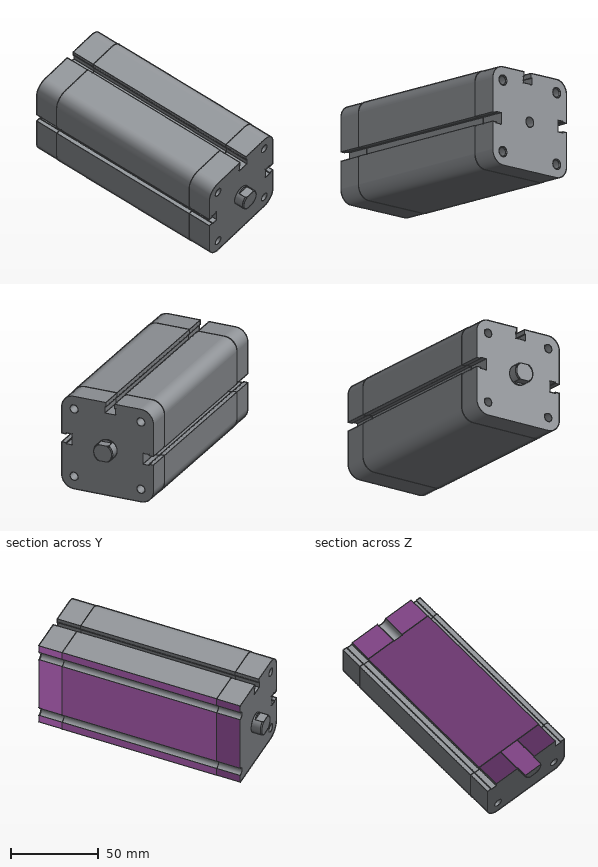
import cadquery as cq

total_length = 132.5
housing_length = 126.0
cap_length = 14.7
tube_length = housing_length - 2 * cap_length
front_cap_start = housing_length - cap_length

tube_width = 58.0
corner_radius = 8.0
cap_inset = 0.1
cap_width = tube_width - 2 * cap_inset

slot_offset = 1.7
cap_neck_width = 5.4
neck_depth = 2.9
cap_channel_width = 6.8
slot_depth = 6.8
cap_channel_bottom = tube_width / 2 - slot_depth
tube_neck_width = 5.2
tube_channel_width = 6.5
tube_floor_rise = 0.3
tube_channel_bottom = cap_channel_bottom + tube_floor_rise
slot_angles = (0, 90, -90)

screw_spacing = 42.0
screw_hole_diameter = 5.0
screw_chamfer = 0.5

centre_hole_diameter = 6.0

rod_diameter = 12.0
rod_radius = rod_diameter / 2
rod_chamfer_length = 0.8
rod_chamfer_depth = 0.4
flat_distance = 10.0
collar_length = 0.9
flat_start = housing_length + collar_length
flat_runout = 0.4


def slot_cutter(start, length, neck, channel, bottom):
    """T-shaped cutter for a slot in the top face, running along X."""
    top = tube_width / 2
    channel_top = top - neck_depth
    end_plane = cq.Workplane("YZ", origin=(start, slot_offset, 0))
    neck_cut = end_plane.center(0, (top + bottom) / 2).rect(neck, top - bottom).extrude(length)
    channel_cut = (
        end_plane.center(0, (channel_top + bottom) / 2)
        .rect(channel, channel_top - bottom)
        .extrude(length)
    )
    return neck_cut.union(channel_cut)


def slotted_block(start, length, width, slot):
    """Square block with rounded long edges, three slots and four through holes."""
    block = cq.Workplane("YZ", origin=(start, 0, 0)).rect(width, width).extrude(length)
    block = block.edges("|X").fillet(corner_radius)
    for angle in slot_angles:
        block = block.cut(slot.rotate((0, 0, 0), (1, 0, 0), angle))
    screw_holes = (
        cq.Workplane("YZ", origin=(start, 0, 0))
        .rect(screw_spacing, screw_spacing, forConstruction=True)
        .vertices()
        .circle(screw_hole_diameter / 2)
        .extrude(length)
    )
    return block.cut(screw_holes)


def make_cap(start):
    """Plain slotted end cap, starting at the given X."""
    slot = slot_cutter(start, cap_length, cap_neck_width, cap_channel_width, cap_channel_bottom)
    return slotted_block(start, cap_length, cap_width, slot)


def make_rear_cap():
    """Rear cap with chamfered screw holes and a centre hole reaching the tube."""
    cap = make_cap(0)
    screw_holes = cap.faces("<X").edges("%CIRCLE").edges(cq.selectors.RadiusNthSelector(0))
    cap = screw_holes.chamfer(screw_chamfer)
    centre_hole = cq.Workplane("YZ").circle(centre_hole_diameter / 2).extrude(cap_length)
    return cap.cut(centre_hole)


def make_tube():
    """Profile tube, with slots slightly narrower than those of the caps."""
    slot = slot_cutter(cap_length, tube_length, tube_neck_width, tube_channel_width, tube_channel_bottom)
    return slotted_block(cap_length, tube_length, tube_width, slot)


def make_front_cap():
    """Front cap with a hole that fits the rod."""
    rod_hole = cq.Workplane("YZ", origin=(front_cap_start, 0, 0)).circle(rod_radius).extrude(cap_length)
    return make_cap(front_cap_start).cut(rod_hole)


def make_flat_cutter():
    """Cutter for the upper wrench flat, with a sloped end where the flat runs out."""
    flat_height = flat_distance / 2
    profile = [
        (flat_start, rod_radius),
        (flat_start + flat_runout, flat_height),
        (total_length, flat_height),
        (total_length, rod_radius),
    ]
    return cq.Workplane("XZ").polyline(profile).close().extrude(rod_radius, both=True)


def make_rod():
    """Piston rod with a chamfered tip and two opposite wrench flats."""
    profile = [
        (front_cap_start, 0),
        (front_cap_start, rod_radius),
        (total_length - rod_chamfer_length, rod_radius),
        (total_length, rod_radius - rod_chamfer_depth),
        (total_length, 0),
    ]
    rod = cq.Workplane("XZ").polyline(profile).close().revolve(360, (0, 0, 0), (1, 0, 0))
    upper_flat = make_flat_cutter()
    lower_flat = upper_flat.mirror("XY")
    return rod.cut(upper_flat).cut(lower_flat)


rear_cap = make_rear_cap()
tube = make_tube()
front_cap = make_front_cap()
rod = make_rod()

result = cq.Compound.makeCompound([rear_cap.val(), tube.val(), front_cap.val(), rod.val()])